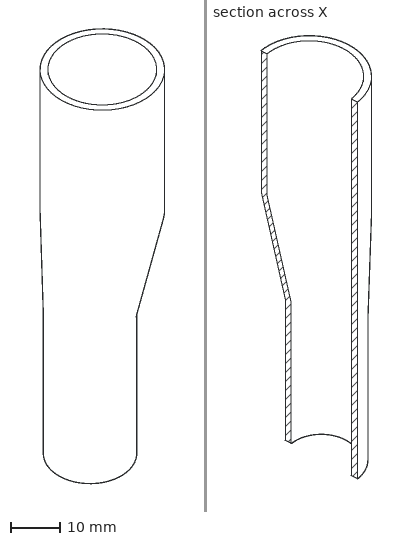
import cadquery as cq

total_length = 101.6
end_length = 38.1
wide_outer_diameter = 25.4
wide_bore_diameter = 22.1
narrow_outer_diameter = 19.1
narrow_bore_diameter = 15.7

transition_length = total_length - 2 * end_length
wide_end_bottom = end_length + transition_length

narrow_center_y = -(wide_outer_diameter - narrow_outer_diameter) / 2


def stepped_body(wide_diameter, narrow_diameter):
    """Two offset cylinders joined by an oblique cone, as one solid."""
    narrow_end = (
        cq.Workplane("XY")
        .center(0, narrow_center_y)
        .circle(narrow_diameter / 2)
        .extrude(end_length)
    )
    transition = (
        cq.Workplane("XY", origin=(0, narrow_center_y, end_length))
        .circle(narrow_diameter / 2)
        .workplane(offset=transition_length)
        .center(0, -narrow_center_y)
        .circle(wide_diameter / 2)
        .loft(ruled=True, combine=True)
    )
    wide_end = (
        cq.Workplane("XY", origin=(0, 0, wide_end_bottom))
        .circle(wide_diameter / 2)
        .extrude(end_length)
    )
    return narrow_end.union(transition).union(wide_end)


outer_body = stepped_body(wide_outer_diameter, narrow_outer_diameter)
bore = stepped_body(wide_bore_diameter, narrow_bore_diameter)

result = outer_body.cut(bore)